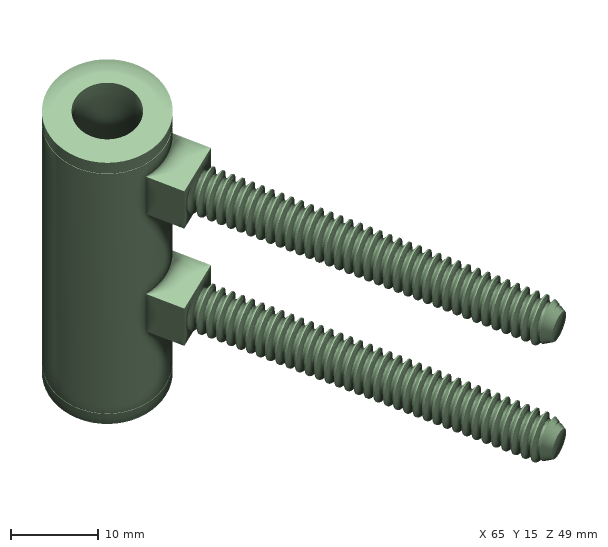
import cadquery as cq
import math

BARREL_DIAMETER = 15.0
BARREL_HEIGHT = 49.0
BORE_DIAMETER = 8.2

COLLAR_HEIGHT = 1.9
GROOVE_WIDTH = 0.2
GROOVE_DEPTH = 0.05

LUG_SIZE = 7.0
LUG_END_X = 11.5
UPPER_PIN_Z = 16.5
PIN_SPACING = 22.0
PIN_HEIGHTS = (UPPER_PIN_Z, UPPER_PIN_Z - PIN_SPACING)

PIN_TIP_X = 57.5
THREAD_DIAMETER = 6.0
THREAD_PITCH = 1.25
CORE_DIAMETER = 4.6
TIP_DIAMETER = 3.8
TIP_HALF_ANGLE = 30.0

CREST_WIDTH = THREAD_PITCH / 8
ROOT_WIDTH = THREAD_PITCH / 4
FIRST_CREST_OFFSET = 0.77
SPIRAL_STEPS = 4

SHANK_TURNS = 35

BARREL_RADIUS = BARREL_DIAMETER / 2
THREAD_RADIUS = THREAD_DIAMETER / 2
CORE_RADIUS = CORE_DIAMETER / 2
TIP_RADIUS = TIP_DIAMETER / 2

CREST_HALF_ANGLE = math.pi * CREST_WIDTH / THREAD_PITCH
ROOT_HALF_ANGLE = math.pi * ROOT_WIDTH / THREAD_PITCH

TIP_START_X = LUG_END_X + SHANK_TURNS * THREAD_PITCH

WALL_MID_X = (BARREL_DIAMETER + BORE_DIAMETER) / 4


def make_barrel():
    """Bored cylinder with a joint groove below each end collar."""
    barrel = cq.Workplane("XY").circle(BARREL_RADIUS).circle(BORE_DIAMETER / 2)
    barrel = barrel.extrude(BARREL_HEIGHT / 2, both=True)
    groove = (
        cq.Workplane("XY")
        .circle(BARREL_RADIUS + GROOVE_DEPTH)
        .circle(BARREL_RADIUS - GROOVE_DEPTH)
        .extrude(GROOVE_WIDTH / 2, both=True)
    )
    groove_z = BARREL_HEIGHT / 2 - COLLAR_HEIGHT - GROOVE_WIDTH / 2
    for z in (groove_z, -groove_z):
        barrel = barrel.cut(groove.translate((0, 0, z)))
    return barrel


def make_lug():
    """Square block running from inside the barrel wall to the lug face."""
    length = LUG_END_X - WALL_MID_X
    return cq.Workplane("YZ", origin=(WALL_MID_X, 0, 0)).rect(LUG_SIZE, LUG_SIZE).extrude(length)


def polar(radius, angle):
    """Cartesian point in the cross-section of the thread."""
    return (radius * math.cos(angle), radius * math.sin(angle))


def flank_point(fraction, side):
    """Point on the spiral flank, from the crest (fraction 0) to the root (fraction 1)."""
    radius = THREAD_RADIUS + (CORE_RADIUS - THREAD_RADIUS) * fraction
    angle = CREST_HALF_ANGLE + (math.pi - ROOT_HALF_ANGLE - CREST_HALF_ANGLE) * fraction
    return polar(radius, side * angle)


def make_threaded_length(start_x, length):
    """Threaded rod along X: a cross-section of the thread, twisted once per pitch.

    The start must lie a whole number of pitches from the lug face.
    """
    crest_angle = -2 * math.pi * FIRST_CREST_OFFSET / THREAD_PITCH
    plane = cq.Plane(
        origin=(start_x, 0, 0),
        xDir=(0, math.cos(crest_angle), math.sin(crest_angle)),
        normal=(1, 0, 0),
    )
    fractions = [step / SPIRAL_STEPS for step in range(SPIRAL_STEPS + 1)]
    falling_flank = [flank_point(fraction, 1) for fraction in fractions]
    rising_flank = [flank_point(fraction, -1) for fraction in reversed(fractions)]
    section = (
        cq.Workplane(plane)
        .moveTo(*rising_flank[-1])
        .threePointArc(polar(THREAD_RADIUS, 0), falling_flank[0])
        .spline(falling_flank[1:], includeCurrent=True)
        .threePointArc(polar(CORE_RADIUS, math.pi), rising_flank[0])
        .spline(rising_flank[1:], includeCurrent=True)
        .close()
    )
    return section.twistExtrude(length, 360 * length / THREAD_PITCH)


def make_tip():
    """Last stretch of thread, trimmed by the cone that narrows to the pin end."""
    thread = make_threaded_length(TIP_START_X, PIN_TIP_X - TIP_START_X)
    cone_start_x = TIP_START_X - THREAD_PITCH
    cone_slope = math.tan(math.radians(TIP_HALF_ANGLE))
    cone_start_radius = TIP_RADIUS + (PIN_TIP_X - cone_start_x) * cone_slope
    cone = (
        cq.Workplane("XY")
        .polyline([
            (cone_start_x, 0),
            (cone_start_x, cone_start_radius),
            (PIN_TIP_X, TIP_RADIUS),
            (PIN_TIP_X, 0),
        ])
        .close()
        .revolve(360, (0, 0, 0), (1, 0, 0))
    )
    return thread.intersect(cone, clean=False)


def make_pin():
    """Threaded pin, sewn from the skins of identical shank turns and the tapered tip."""
    one_turn = make_threaded_length(LUG_END_X, THREAD_PITCH)
    start_face = one_turn.faces("<X").val()
    thread_skin = one_turn.faces("not(<X or >X)").vals()
    skin = [start_face]
    for turn in range(SHANK_TURNS):
        shift = cq.Vector(turn * THREAD_PITCH, 0, 0)
        skin += [face.translate(shift) for face in thread_skin]
    skin += make_tip().faces("not <X").vals()
    return cq.Workplane(cq.Solid.makeSolid(cq.Shell.makeShell(skin)))


pin = make_lug().union(make_pin(), clean=False)
result = make_barrel()
for pin_z in PIN_HEIGHTS:
    result = result.union(pin.translate((0, 0, pin_z)), clean=False)